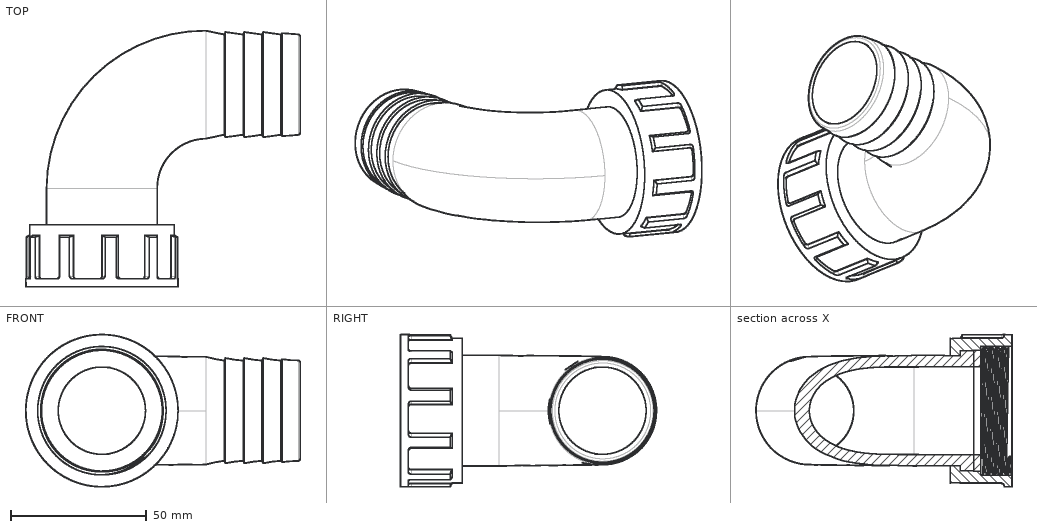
import cadquery as cq
import math


overall_length = 101.7

nut_length = 23.0
nut_radius = 56.5 / 2
nut_body_radius = 26.9
nut_rim_length = 3.0
seat_radius = 22.4
thread_root_radius = 23.8
nut_shoulder_y = 19.3

bore_radius = 16.2
pipe_start_radius = 20.6
pipe_end_radius = 20.0
bend_radius = 38.5
tail_axis_y = 74.9
bend_start_y = tail_axis_y - bend_radius
tail_end_x = overall_length - nut_radius

barb_pitch = 7.0
first_barb_x = 45.8
barb_count = 4
barb_step = 0.5
barb_root_radius = 18.6
barb_peak_radius = 19.5
last_barb_peak_radius = 19.1
tail_end_rounding = 0.9

rib_count = 10
rib_first_angle = 11.4
rib_base_width = 6.1
rib_top_width = 4.1
rib_end_y = 19.1
rib_end_slope = 0.7
rib_corner_radius = 1.0
rib_root_depth = 1.0

washer_front_y = 11.6
washer_thickness = 2.5
flange_front_y = washer_front_y + washer_thickness

thread_pitch = 2.31
thread_crest_radius = 22.7
thread_crest_width = 0.6
thread_cut_in = 0.3
thread_flank_angle = 27.5
thread_turns = 5
thread_start_angle = -48.0
thread_height = thread_root_radius - thread_crest_radius
thread_flank_width = thread_height * math.tan(math.radians(thread_flank_angle))
thread_root_width = thread_crest_width + 2 * thread_flank_width


def disc(radius, start_y, end_y):
    """Cylinder on the Y axis between two Y positions."""
    return cq.Workplane("XZ", origin=(0, start_y, 0)).circle(radius).extrude(start_y - end_y)


def swept_bend(start_radius, end_radius):
    """Quarter bend from the Y axis to the tail axis."""
    half = bend_radius * math.sqrt(0.5)
    path = (
        cq.Workplane("XY")
        .moveTo(0, bend_start_y)
        .threePointArc((bend_radius - half, bend_start_y + half), (bend_radius, tail_axis_y))
    )
    start = cq.Workplane("XZ", origin=(0, bend_start_y, 0)).circle(start_radius)
    end = cq.Workplane("YZ", origin=(bend_radius, tail_axis_y, 0)).circle(end_radius)
    sections = [start.wires().val(), end.wires().val()]
    return cq.Workplane(cq.Solid.sweep_multi(sections, path.val()))


def make_tail():
    """Solid hose tail with sawtooth barbs and a rounded tip."""
    points = [(bend_radius, 0), (bend_radius, pipe_end_radius)]
    for index in range(barb_count):
        peak_x = first_barb_x + index * barb_pitch
        peak = barb_peak_radius if index < barb_count - 1 else last_barb_peak_radius
        points += [(peak_x - barb_step, barb_root_radius), (peak_x, peak)]
    points += [(tail_end_x, barb_root_radius), (tail_end_x, 0)]
    tail = (
        cq.Workplane("XY", origin=(0, tail_axis_y, 0))
        .polyline(points)
        .close()
        .revolve(360, (0, 0, 0), (1, 0, 0))
    )
    return tail.faces(">X").edges().fillet(tail_end_rounding)


def make_elbow():
    """Bored pipe with a flange inside the nut, a quarter bend and the hose tail."""
    outside = (
        disc(seat_radius, flange_front_y, nut_shoulder_y)
        .union(disc(pipe_start_radius, flange_front_y, bend_start_y))
        .union(swept_bend(pipe_start_radius, pipe_end_radius))
        .union(make_tail())
    )
    tail_bore = (
        cq.Workplane("YZ", origin=(bend_radius, tail_axis_y, 0))
        .circle(bore_radius)
        .extrude(tail_end_x - bend_radius)
    )
    return (
        outside.cut(disc(bore_radius, flange_front_y, bend_start_y))
        .cut(swept_bend(bore_radius, bore_radius))
        .cut(tail_bore)
    )


def make_rib(angle):
    """Bar with sloping sides, rooted inside the nut body."""
    root = nut_body_radius - rib_root_depth
    half_base = rib_base_width / 2
    half_top = rib_top_width / 2
    rib = (
        cq.Workplane("XZ")
        .polyline([
            (root, -half_base),
            (nut_body_radius, -half_base),
            (nut_radius, -half_top),
            (nut_radius, half_top),
            (nut_body_radius, half_base),
            (root, half_base),
        ])
        .close()
        .extrude(-rib_end_y)
    )
    return rib.rotate((0, 0, 0), (0, -1, 0), angle)


def make_rib_envelope():
    """Round outline that trims the ribs to the nut radius and slopes their ends."""
    return (
        cq.Workplane("XY")
        .polyline([
            (0, 0),
            (nut_radius, 0),
            (nut_radius, rib_end_y - rib_end_slope),
            (nut_body_radius, rib_end_y),
            (0, rib_end_y),
        ])
        .close()
        .revolve(360, (0, 0, 0), (0, 1, 0))
    )


def round_rib_corners(nut):
    """Fillet the corners between the rib sides and the step behind the rim."""
    margin = 0.1
    step_zone = cq.selectors.BoxSelector(
        (-nut_radius, nut_rim_length - margin, -nut_radius),
        (nut_radius, nut_rim_length + margin, nut_radius),
    )
    return nut.edges(step_zone).edges("%LINE").fillet(rib_corner_radius)


def make_nut():
    """Ribbed nut with a wide threaded bore, a washer seat and a back wall around the pipe."""
    nut = disc(nut_body_radius, 0, nut_length).union(disc(nut_radius, 0, nut_rim_length))
    envelope = make_rib_envelope()
    for index in range(rib_count):
        rib = make_rib(rib_first_angle + index * 360 / rib_count)
        nut = nut.union(rib.intersect(envelope))
    nut = round_rib_corners(nut)
    return (
        nut.cut(disc(thread_root_radius, 0, washer_front_y))
        .cut(disc(seat_radius, washer_front_y, nut_shoulder_y))
        .cut(disc(pipe_start_radius, nut_shoulder_y, nut_length))
    )


def make_washer():
    """Flat ring between the thread and the elbow flange."""
    return disc(seat_radius, washer_front_y, flange_front_y).cut(
        disc(bore_radius, washer_front_y, flange_front_y))


def make_thread():
    """Right-hand helical ridge, trimmed flush with the mouth and with the washer."""
    overlap = 0.2
    outer = thread_root_radius + overlap
    half_crest = thread_crest_width / 2
    half_root = thread_root_width / 2
    half_outer = half_root + overlap * thread_flank_width / thread_height
    profile = cq.Workplane("XZ").polyline([
        (outer, -half_outer),
        (thread_crest_radius, -half_crest),
        (thread_crest_radius, half_crest),
        (outer, half_outer),
    ]).close()
    helix = cq.Wire.makeHelix(thread_pitch, thread_turns * thread_pitch, thread_root_radius)
    ridge = (
        profile.sweep(cq.Workplane(helix), isFrenet=True)
        .rotate((0, 0, 0), (1, 0, 0), -90)
        .rotate((0, 0, 0), (0, -1, 0), thread_start_angle)
        .translate((0, half_root - thread_cut_in, 0))
    )
    ridge = ridge.intersect(disc(thread_root_radius, -thread_pitch, nut_length))
    ridge = ridge.cut(disc(nut_radius, washer_front_y, nut_length))
    return ridge.cut(disc(nut_radius, -thread_pitch, 0))


elbow = make_elbow()
nut = make_nut()
washer = make_washer()
thread = make_thread()
result = cq.Compound.makeCompound([elbow.val(), nut.val(), washer.val(), thread.val()])